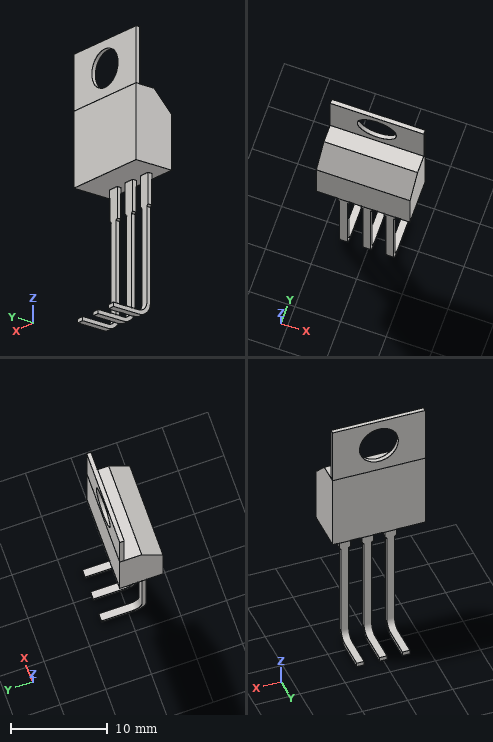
import cadquery as cq
import math

total_height = 30.93
body_width = 10.3

housing_depth = 4.75
housing_bottom = 16.0
housing_top = 24.55
housing_chamfer = 2.35

tab_thickness = 0.5
hole_diameter = 4.27
hole_below_top = 3.15

lead_count = 3
lead_pitch = 2.55
lead_thickness = 0.5
lead_wide = 1.27
lead_narrow = 0.87
lead_setback = 1.08
lead_overhang = 1.25
shoulder_top = 12.45
bend_outer_radius = 1.55

lead_front = -housing_depth + lead_setback
lead_back = lead_front + lead_thickness
bend_inner_radius = bend_outer_radius - lead_thickness
shoulder_bottom = shoulder_top - (lead_wide - lead_narrow) / 2


def make_housing():
    """Block with its upper front edge cut back at 45 degrees."""
    profile = [
        (0, housing_bottom),
        (0, housing_top),
        (-housing_depth + housing_chamfer, housing_top),
        (-housing_depth, housing_top - housing_chamfer),
        (-housing_depth, housing_bottom),
    ]
    return cq.Workplane("YZ").polyline(profile).close().extrude(body_width / 2, both=True)


def make_tab():
    """Thin plate standing on the housing, with a round mounting hole."""
    plate = (
        cq.Workplane("XZ")
        .center(0, (housing_top + total_height) / 2)
        .rect(body_width, total_height - housing_top)
        .extrude(tab_thickness)
    )
    hole = (
        cq.Workplane("XZ")
        .center(0, total_height - hole_below_top)
        .circle(hole_diameter / 2)
        .extrude(tab_thickness)
    )
    return plate.cut(hole)


def make_lead(x):
    """Lead with a wide shank, tapered shoulders and a foot bent toward the back."""
    bend_y = lead_front + bend_outer_radius
    bend_z = bend_outer_radius
    diagonal = math.sqrt(0.5)
    outer_mid = (bend_y - bend_outer_radius * diagonal, bend_z - bend_outer_radius * diagonal)
    inner_mid = (bend_y - bend_inner_radius * diagonal, bend_z - bend_inner_radius * diagonal)
    strip = (
        cq.Workplane("YZ")
        .moveTo(lead_front, shoulder_bottom)
        .lineTo(lead_front, bend_z)
        .threePointArc(outer_mid, (bend_y, 0))
        .lineTo(lead_overhang, 0)
        .lineTo(lead_overhang, lead_thickness)
        .lineTo(bend_y, lead_thickness)
        .threePointArc(inner_mid, (lead_back, bend_z))
        .lineTo(lead_back, shoulder_bottom)
        .close()
        .extrude(lead_narrow / 2, both=True)
    )
    shank_outline = [
        (-lead_narrow / 2, shoulder_bottom),
        (-lead_wide / 2, shoulder_top),
        (-lead_wide / 2, housing_bottom),
        (lead_wide / 2, housing_bottom),
        (lead_wide / 2, shoulder_top),
        (lead_narrow / 2, shoulder_bottom),
    ]
    shank = (
        cq.Workplane("XZ", origin=(0, lead_back, 0))
        .polyline(shank_outline)
        .close()
        .extrude(lead_thickness)
    )
    return strip.union(shank).translate((x, 0, 0))


housing = make_housing()
tab = make_tab()
leads = [make_lead((i - (lead_count - 1) / 2) * lead_pitch) for i in range(lead_count)]

result = cq.Compound.makeCompound([housing.val(), tab.val(), *[lead.val() for lead in leads]])